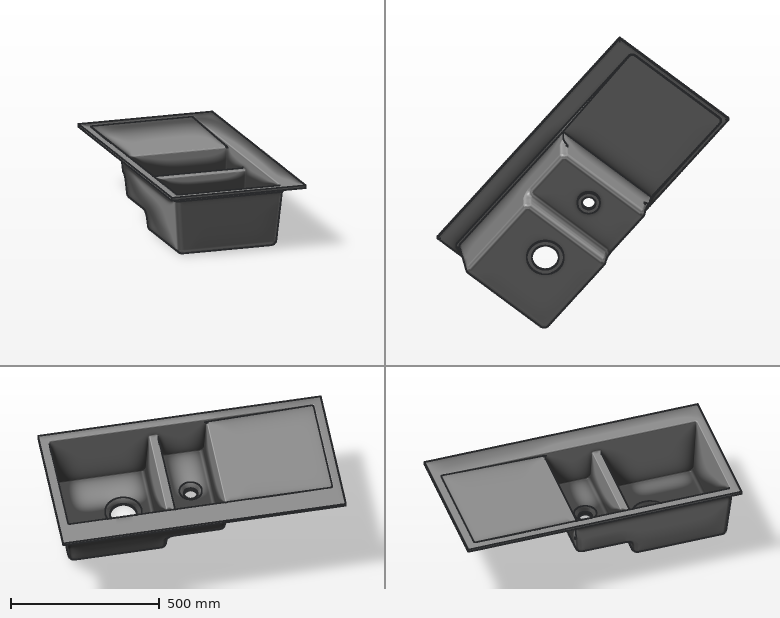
import cadquery as cq
import math

LENGTH = 965.0
WIDTH = 475.0
HEIGHT = 220.0
RIM_THICKNESS = 12.0
RIM_CHAMFER_HEIGHT = 2.0
RIM_CHAMFER_WIDTH = 8.0
DRAFT = 5.0
WALL = 13.0

MOUTH_MARGIN = 31.8
MOUTH_MARGIN_BACK = 81.4

EDGE_RADIUS = 6.0
FLOOR_RADIUS = 20.0

DRAINER_DEPTH_LEFT = 2.5
DRAINER_DEPTH_RIGHT = 10.2
DIVIDER_DEPTH = 38.0
SMALL_FLOOR_DEPTH = 141.0
MAIN_FLOOR_DEPTH = 201.0
DRAINER_THICKNESS = 12.0

SMALL_BOWL_LEFT = -86.5
SMALL_BOWL_RIGHT = 84.0
MAIN_BOWL_LEFT = 108.0

SMALL_DRAIN_X = 0.0
SMALL_DRAIN_HOLE = 46.0
SMALL_DRAIN_DISH = 76.0
SMALL_DRAIN_BOTTOM = 167.0
MAIN_DRAIN_X = 229.5
MAIN_DRAIN_HOLE = 90.0
MAIN_DRAIN_DISH = 124.0
MAIN_DRAIN_BOTTOM = HEIGHT

SKIRT_HEIGHT = 10.0
SKIRT_WIDTH = 7.0

RUNOUT_DEPTH = 92.0
RUNOUT_TURN = 15.0

SLOPE = math.tan(math.radians(DRAFT))
MOUTH_LEFT = -LENGTH / 2 + MOUTH_MARGIN
MOUTH_RIGHT = LENGTH / 2 - MOUTH_MARGIN
MOUTH_FRONT = -WIDTH / 2 + MOUTH_MARGIN
MOUTH_BACK = WIDTH / 2 - MOUTH_MARGIN_BACK
CENTRE_Y = (MOUTH_FRONT + MOUTH_BACK) / 2
ABOVE = 30.0
DRAINER_FALL = (DRAINER_DEPTH_RIGHT - DRAINER_DEPTH_LEFT) / (SMALL_BOWL_LEFT - MOUTH_LEFT)


def drainer_depth(x):
    """Depth of the sloping drainer surface at x."""
    return DRAINER_DEPTH_LEFT + DRAINER_FALL * (x - MOUTH_LEFT)


def wall_point(x_at_top, direction, depth):
    """Point of a drafted wall; direction +1 moves it towards +X with depth."""
    return (x_at_top + direction * depth * SLOPE, -depth)


def across(points):
    """Prism with the given XZ outline, running over the whole width."""
    return cq.Workplane("XZ").polyline(points).close().extrude(WIDTH / 2, both=True)


def tapered_block(grow, top, bottom, taper=DRAFT):
    """Block with drafted sides, larger than the mouth by grow at Z = 0."""
    offset = grow + top * SLOPE
    length = MOUTH_RIGHT - MOUTH_LEFT + 2 * offset
    width = MOUTH_BACK - MOUTH_FRONT + 2 * offset
    return (
        cq.Workplane("XY", origin=((MOUTH_LEFT + MOUTH_RIGHT) / 2, CENTRE_Y, top))
        .rect(length, width)
        .extrude(bottom - top, taper=taper)
    )


def slab(bottom, top):
    """Plate of the full outline between two heights."""
    return cq.Workplane("XY").workplane(offset=bottom).rect(LENGTH, WIDTH).extrude(top - bottom)


def round_cross_edges(body, places, radius):
    """Round the edges running along Y that pass through the given XZ points."""
    for x, z in places:
        body = body.edges(cq.selectors.NearestToPointSelector((x, 0, z))).fillet(radius)
    return body


def above_drainer(drop):
    """Everything above the drainer plane lowered by drop, open to the right of the drainer."""
    edge_x = SMALL_BOWL_LEFT
    points = [
        (-LENGTH / 2, ABOVE),
        (-LENGTH / 2, -drainer_depth(-LENGTH / 2) - drop),
        (edge_x, -drainer_depth(edge_x) - drop),
        (edge_x, -HEIGHT),
        (LENGTH / 2, -HEIGHT),
        (LENGTH / 2, ABOVE),
    ]
    return across(points)


def rim_and_skirt():
    """Rim plate with the sloping skirt that leads into the pan below it."""
    skirt_bottom = -RIM_THICKNESS - SKIRT_HEIGHT
    rim = slab(-RIM_THICKNESS, 0)
    rim = rim.faces("<Z").chamfer(RIM_CHAMFER_HEIGHT, RIM_CHAMFER_WIDTH)
    skirt_angle = math.degrees(math.atan2(SKIRT_WIDTH, SKIRT_HEIGHT))
    skirt_grow = WALL + SKIRT_WIDTH + (skirt_bottom + RIM_THICKNESS) * SLOPE
    skirt = tapered_block(skirt_grow, -RIM_THICKNESS, skirt_bottom, skirt_angle)
    skirt = skirt.edges("not(#Z)").fillet(FLOOR_RADIUS)
    return rim.union(skirt).intersect(above_drainer(DRAINER_THICKNESS))


def bowl_shell():
    """Outside of the two bowls, with its rounded edges."""
    small_bottom = SMALL_FLOOR_DEPTH + WALL
    main_bottom = MAIN_FLOOR_DEPTH + WALL
    left = SMALL_BOWL_LEFT - WALL
    step = MAIN_BOWL_LEFT - WALL
    right = MOUTH_RIGHT + WALL
    top_left = wall_point(left, 1, RIM_THICKNESS)
    small_corner = wall_point(left, 1, small_bottom)
    step_top = wall_point(step, 1, small_bottom)
    step_bottom = wall_point(step, 1, main_bottom)
    main_corner = wall_point(right, -1, main_bottom)
    top_right = wall_point(right, -1, RIM_THICKNESS)
    outline = across([top_left, small_corner, step_top, step_bottom, main_corner, top_right])
    sharp = outline.intersect(tapered_block(WALL, 0, -HEIGHT))
    body = round_cross_edges(sharp, [small_corner, step_top, step_bottom, main_corner], FLOOR_RADIUS)
    body = body.faces("<Y or >Y").edges("not(>Z)").fillet(FLOOR_RADIUS)
    return body.union(corner_runouts(sharp))


def corner_runouts(sharp):
    """Upper left corners that stay sharp; the rounding below turns outwards into them."""
    corner_x = wall_point(SMALL_BOWL_LEFT - WALL, 1, RUNOUT_DEPTH)[0]
    axis_x = corner_x - RUNOUT_TURN
    inset = RUNOUT_DEPTH * SLOPE - WALL
    arc_reach = FLOOR_RADIUS * (1 - math.sqrt(0.5))
    block_size = 2 * FLOOR_RADIUS
    corners = cq.Workplane("XY")
    for inward, mouth_y in ((1, MOUTH_FRONT), (-1, MOUTH_BACK)):
        corner_y = mouth_y + inward * inset
        turn = (
            cq.Workplane("XY", origin=(axis_x, corner_y, -RUNOUT_DEPTH))
            .moveTo(0, inward * FLOOR_RADIUS)
            .lineTo(RUNOUT_TURN, inward * FLOOR_RADIUS)
            .threePointArc(
                (RUNOUT_TURN + arc_reach, inward * arc_reach),
                (RUNOUT_TURN + FLOOR_RADIUS, 0),
            )
            .lineTo(RUNOUT_TURN + FLOOR_RADIUS, -inward * WALL)
            .lineTo(0, -inward * WALL)
            .close()
            .revolve(360, (0, 0, 0), (0, 1, 0))
        )
        pivot = cq.Vector(axis_x, corner_y, -RUNOUT_DEPTH)
        turn = turn.rotate(pivot, pivot + cq.Vector(1, 0, 0), inward * DRAFT)
        block = (
            cq.Workplane("XY", origin=(corner_x, corner_y, -RUNOUT_DEPTH))
            .rect(block_size, block_size)
            .extrude(RUNOUT_DEPTH - RIM_THICKNESS)
        )
        corners = corners.add(sharp.intersect(block).cut(turn))
    return corners.combine()


def cavity():
    """Inside of the sink: drainer, small bowl, divider and main bowl under one mouth."""
    drainer_left = (MOUTH_LEFT, -DRAINER_DEPTH_LEFT)
    drainer_edge = wall_point(SMALL_BOWL_LEFT, 1, DRAINER_DEPTH_RIGHT)
    small_left = wall_point(SMALL_BOWL_LEFT, 1, SMALL_FLOOR_DEPTH)
    small_right = wall_point(SMALL_BOWL_RIGHT, -1, SMALL_FLOOR_DEPTH)
    divider_left = wall_point(SMALL_BOWL_RIGHT, -1, DIVIDER_DEPTH)
    divider_right = wall_point(MAIN_BOWL_LEFT, 1, DIVIDER_DEPTH)
    main_left = wall_point(MAIN_BOWL_LEFT, 1, MAIN_FLOOR_DEPTH)
    main_right = wall_point(MOUTH_RIGHT, -1, MAIN_FLOOR_DEPTH)
    top_right = wall_point(MOUTH_RIGHT, -1, -ABOVE)
    body = across([
        (MOUTH_LEFT, ABOVE), drainer_left, drainer_edge, small_left, small_right,
        divider_left, divider_right, main_left, main_right, top_right,
    ])
    body = body.intersect(tapered_block(0, ABOVE, -HEIGHT))
    body = round_cross_edges(body, [small_left, small_right, main_left, main_right], FLOOR_RADIUS)
    body = round_cross_edges(body, [drainer_edge, divider_left, divider_right], EDGE_RADIUS)
    bowl_edges = cq.selectors.BoxSelector(
        (SMALL_BOWL_LEFT - EDGE_RADIUS, -WIDTH, -HEIGHT), (LENGTH, WIDTH, ABOVE))
    body = body.faces("<Y or >Y").edges("not(>Z)").edges(bowl_edges).fillet(EDGE_RADIUS)
    return body.cut(slab(0, 2 * ABOVE)).union(rounded_mouth())


def rounded_mouth():
    """Shallow part of the recess whose upper edge is rounded over into the rim."""
    depth = 2 * EDGE_RADIUS
    recess = tapered_block(0, 0, -depth).edges("not(#Z)").fillet(EDGE_RADIUS)
    body = recess.union(slab(0, ABOVE))
    mouth_edges = cq.selectors.BoxSelector(
        (MOUTH_LEFT - EDGE_RADIUS, MOUTH_FRONT - EDGE_RADIUS, -EDGE_RADIUS / 2),
        (MOUTH_RIGHT + EDGE_RADIUS, MOUTH_BACK + EDGE_RADIUS, EDGE_RADIUS / 2),
    )
    body = body.edges(mouth_edges).fillet(EDGE_RADIUS).cut(slab(0, ABOVE))
    return body.intersect(above_drainer(0))


def drain_boss(x, dish_diameter, floor_depth, bottom_depth):
    """Round boss under a bowl floor."""
    return (
        cq.Workplane("XY", origin=(x, CENTRE_Y, -bottom_depth))
        .circle(dish_diameter / 2)
        .extrude(bottom_depth - floor_depth - WALL / 2)
    )


def drain_opening(x, dish_diameter, hole_diameter, floor_depth, bottom_depth):
    """Conical dish in a bowl floor with a straight hole below it."""
    dish_bottom = -floor_depth - WALL
    outline = [
        (0, -floor_depth),
        (dish_diameter / 2, -floor_depth),
        (hole_diameter / 2, dish_bottom),
        (hole_diameter / 2, -bottom_depth),
        (0, -bottom_depth),
    ]
    return (
        cq.Workplane("XZ", origin=(x, CENTRE_Y, 0))
        .polyline(outline)
        .close()
        .revolve(360, (0, 0, 0), (0, 1, 0))
    )


sink = rim_and_skirt().union(bowl_shell()).cut(cavity())
for drain_x, dish, hole, floor, bottom in (
    (SMALL_DRAIN_X, SMALL_DRAIN_DISH, SMALL_DRAIN_HOLE, SMALL_FLOOR_DEPTH, SMALL_DRAIN_BOTTOM),
    (MAIN_DRAIN_X, MAIN_DRAIN_DISH, MAIN_DRAIN_HOLE, MAIN_FLOOR_DEPTH, MAIN_DRAIN_BOTTOM),
):
    sink = sink.union(drain_boss(drain_x, dish, floor, bottom))
    sink = sink.cut(drain_opening(drain_x, dish, hole, floor, bottom))

result = sink